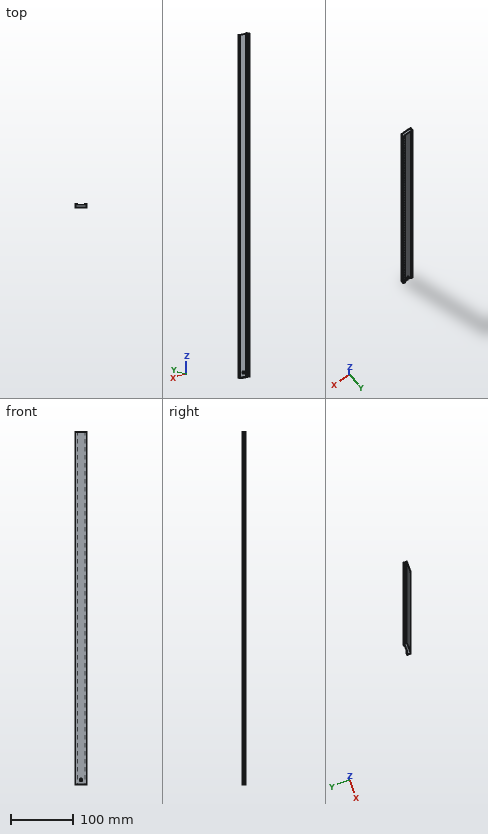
import cadquery as cq

width = 19.05
depth = 6.35
length = 565.15

leg_thickness = 3.175
web_thickness = 4.7625

side_groove_width = 1.5875
side_groove_depth = 0.4
side_groove_offset = 1.5875

hole_diameter = 3.96875
hole_height = 7.62


def full_length_bar(size_x, size_y, start_y):
    """Rectangular bar along Z, centred on X and starting at start_y."""
    bar = cq.Workplane("XY").box(size_x, size_y, length, centered=(True, False, False))
    return bar.translate((0, start_y, 0))


def channel_groove():
    """Cutter for the wide groove between the two legs."""
    return full_length_bar(width - 2 * leg_thickness, depth - web_thickness, web_thickness)


def side_groove(side):
    """Cutter for one narrow side groove; side is -1 for -X and +1 for +X."""
    cutter = full_length_bar(2 * side_groove_depth, side_groove_width, side_groove_offset)
    return cutter.translate((side * width / 2, 0, 0))


def web_hole():
    """Round cutter along Y, centred across the width."""
    return (
        cq.Workplane("XZ")
        .center(0, hole_height)
        .circle(hole_diameter / 2)
        .extrude(-depth)
    )


result = full_length_bar(width, depth, 0).cut(channel_groove())
for side in (-1, 1):
    result = result.cut(side_groove(side))
result = result.cut(web_hole())